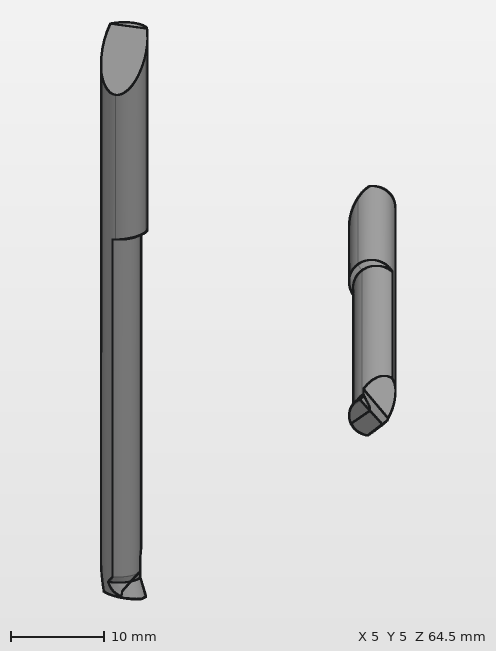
import cadquery as cq
import math

bar_length = 64.5
bar_radius = 2.5
margin = 5.0

top_flat_y = 1.3
top_slope_angle = 30.0

rake_flat_y = 0.2
rake_flat_height = 4.5
rake_slope_angle = 30.0

back_clearance_height = 4.1
back_clearance_angle = 15.0

end_face_angle = 8.0
end_relief_angle = 7.0
nose_radius = 0.2

neck_axis_x = -0.7
neck_radius = 2.5
neck_top = 41.35
shoulder_height = 41.75
neck_bottom = 2.85

undercut_height = 2.15
undercut_axis_y = 0.17
flare_lean_x = 0.33
flare_lean_y = -0.17

split_x = 0.65
split_bend_height = 1.25
split_slope = 0.72


def side_prism(points, plane):
    """Prism on an outline, reaching through the bar in both directions."""
    return cq.Workplane(plane).polyline(points).close().extrude(margin, both=True)


def top_slope():
    """Wedge on the -Y side of the top end, outlined in Y and Z."""
    slope = math.tan(math.radians(top_slope_angle))
    outer_y = -bar_radius - margin
    top = bar_length + margin
    points = [
        (top_flat_y + margin * slope, top),
        (outer_y, top),
        (outer_y, bar_length - (top_flat_y - outer_y) / slope),
    ]
    return side_prism(points, "YZ")


def rake_recess():
    """Material removed on the +Y side of the tip, outlined in Y and Z."""
    outer_y = bar_radius + margin
    slope_rise = (outer_y - rake_flat_y) / math.tan(math.radians(rake_slope_angle))
    points = [
        (rake_flat_y, -margin),
        (rake_flat_y, rake_flat_height),
        (outer_y, rake_flat_height + slope_rise),
        (outer_y, -margin),
    ]
    return side_prism(points, "YZ")


def back_clearance():
    """Wedge on the -X side of the tip, outlined in X and Z."""
    drop = back_clearance_height + margin
    points = [
        (-bar_radius, back_clearance_height),
        (-bar_radius + drop * math.tan(math.radians(back_clearance_angle)), -margin),
        (-bar_radius, -margin),
    ]
    return side_prism(points, "XZ")


def neck_cut():
    """Material outside the neck: shoulder cone, neck, undercut and flare."""
    flare_drop = undercut_height + margin
    flare_end_x = neck_axis_x + flare_lean_x * flare_drop
    flare_end_y = undercut_axis_y + flare_lean_y * flare_drop
    shoulder_radius = bar_radius - neck_axis_x
    sections = [
        (neck_axis_x, 0, shoulder_height, shoulder_radius),
        (neck_axis_x, 0, neck_top, neck_radius),
        (neck_axis_x, 0, neck_bottom, neck_radius),
        (neck_axis_x, undercut_axis_y, undercut_height, neck_radius),
        (flare_end_x, flare_end_y, -margin, neck_radius),
    ]
    rims = []
    for x, y, height, radius in sections:
        rims.append(cq.Wire.makeCircle(radius, cq.Vector(x, y, height), cq.Vector(0, 0, 1)))
    core = cq.Solid.makeLoft(rims, True)
    around = cq.Workplane("XY").workplane(offset=-margin).circle(bar_radius + margin)
    return around.extrude(margin + shoulder_height).cut(cq.Workplane(core))


def end_envelope():
    """Long prism whose underside is the relieved end face with its nose arc."""
    relief = math.radians(end_relief_angle)
    face = math.radians(end_face_angle)
    plane = cq.Plane(
        origin=(0, rake_flat_y, 0),
        xDir=(1, 0, 0),
        normal=(0, -math.cos(relief), math.sin(relief)),
    )
    nose_x = bar_radius - nose_radius

    def on_nose(angle):
        return (nose_x + nose_radius * math.cos(angle), nose_radius + nose_radius * math.sin(angle))

    face_end = on_nose(-math.pi / 2 - face)
    left_x = -bar_radius - margin
    left_height = face_end[1] + (face_end[0] - left_x) * math.tan(face)
    top = bar_length + margin
    outline = (
        cq.Workplane(plane)
        .moveTo(left_x, left_height)
        .lineTo(*face_end)
        .threePointArc(on_nose(-math.pi / 4), on_nose(0))
        .lineTo(bar_radius, top)
        .lineTo(left_x, top)
        .close()
    )
    return outline.extrude(2 * margin, both=True)


def tip_region():
    """Space on the +X side of the bent split, below the slanted part."""
    reach = bar_radius + margin
    points = [
        (split_x, -margin),
        (split_x, split_bend_height),
        (reach, split_bend_height + (reach - split_x) / split_slope),
        (reach, -margin),
    ]
    return side_prism(points, "XZ")


def whole_tool():
    blank = (
        cq.Workplane("XY")
        .moveTo(0, -bar_radius)
        .threePointArc((bar_radius, 0), (0, bar_radius))
        .threePointArc((-bar_radius, 0), (0, -bar_radius))
        .close()
        .extrude(bar_length)
    )
    for removed in (top_slope(), rake_recess(), back_clearance(), neck_cut()):
        blank = blank.cut(removed, clean=False)
    return blank.intersect(end_envelope(), clean=False)


tool = whole_tool()
bar = tool.cut(tip_region(), clean=False)
cutting_tip = tool.intersect(tip_region(), clean=False)

result = cq.Compound.makeCompound([bar.solids().val(), cutting_tip.solids().val()])